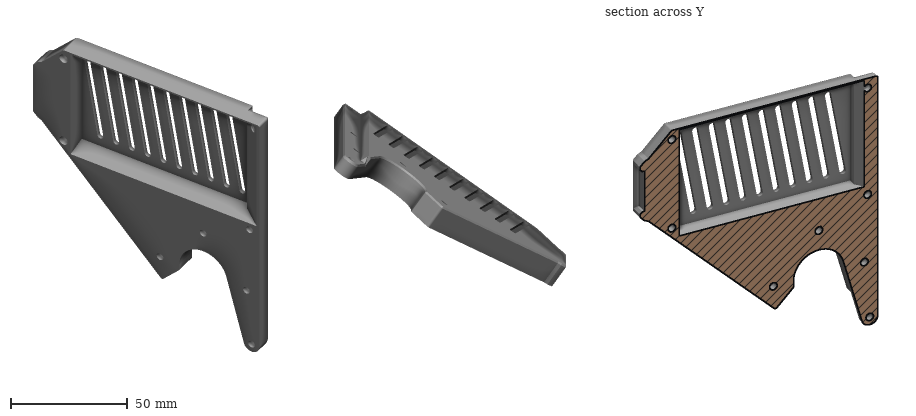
import cadquery as cq
import math


WIDTH = 114.82
HEIGHT = 124.2
THICKNESS = 11.0
LEDGE_THICKNESS = 7.6

OPENING_RADIUS = 12.1
TIP_X = 24.5
TIP_Z = -28.25
TIP_RADIUS = 4.0
RIGHT = TIP_X + TIP_RADIUS
LEFT = RIGHT - WIDTH
BOTTOM = TIP_Z - TIP_RADIUS
TOP = BOTTOM + HEIGHT
HEAD_Z = 65.0
HEAD_HALF_HEIGHT = 12.6
HEAD_CHAMFER = 2.35
NECK_WIDTH = 1.85
NECK_OUTER_X = LEFT + HEAD_CHAMFER
NECK_OUTER_HALF = HEAD_HALF_HEIGHT + HEAD_CHAMFER
NECK_INNER_X = NECK_OUTER_X + NECK_WIDTH
NECK_INNER_HALF = 15.75
TOP_LEFT_X = NECK_INNER_X + TOP - (HEAD_Z + NECK_INNER_HALF)
POINT_X = -20.9
POINT_Z = NECK_INNER_X + HEAD_Z - NECK_INNER_HALF - POINT_X
OPENING_CORNER_Z = POINT_Z + (-OPENING_RADIUS - POINT_X)
CORNER_RADIUS = 1.0

BEVEL_WIDTH = 0.45
BEVEL_DEPTH = 0.8
LEDGE_BEVEL_DEPTH = 1.15

SIDE_LEDGE_X = 18.5
TIP_LEDGE_Z = -14.9

POCKET_LEFT = -67.25
POCKET_RIGHT = 27.05
POCKET_BOTTOM = 36.95
POCKET_TOP = 91.1
POCKET_DEPTH = 9.0
POCKET_DRAFT = 15.0
RAMP_DEPTH = 6.4
RAMP_X = 18.2
FLOOR_RIGHT = 17.75

SLOT_COUNT = 10
SLOT_PITCH = 8.0
SLOT_WIDTH = 3.0
SLOT_TILT = 10.0
SLOT_RISE = 40.0
FIRST_SLOT_X = -61.35
SLOT_Z = HEAD_Z

SCREW_DIAMETER = 3.4
MOTOR_HOLE_SPACING = 31.0
MOTOR_HOLE_OFFSET = MOTOR_HOLE_SPACING / math.sqrt(2)
SIDE_HOLE_X = 23.5
SIDE_HOLES_Z = (33.5, 87.0)
PILOT_X = -70.85
PILOT_SPACING = 44.5
PILOT_DIAMETER = 2.7
PILOT_MOUTH_DIAMETER = 4.2
PILOT_DEPTH = 8.0

WINDOW_LENGTH = 22.4
WINDOW_WIDTH = 8.7
WINDOW_Y = 5.45
WINDOW_BEVEL = 1.2
WINDOW_DEPTH = 2.2

OVERSIZE = 1.0


def front_plane(y=0.0):
    return cq.Workplane("XZ", origin=(0, y, 0))


def outline(y=0.0):
    """Closed outline of the plate; the leg edge is tangent to opening and tip."""
    centre_distance = math.hypot(TIP_X, TIP_Z)
    leg_angle = math.atan2(TIP_X, -TIP_Z) - math.asin((OPENING_RADIUS + TIP_RADIUS) / centre_distance)
    normal_x = math.cos(leg_angle)
    normal_z = math.sin(leg_angle)
    leg_start = (OPENING_RADIUS * normal_x, OPENING_RADIUS * normal_z)
    leg_end = (TIP_X - TIP_RADIUS * normal_x, TIP_Z - TIP_RADIUS * normal_z)
    return (
        front_plane(y)
        .moveTo(RIGHT, TIP_Z)
        .lineTo(RIGHT, TOP)
        .lineTo(TOP_LEFT_X, TOP)
        .lineTo(NECK_INNER_X, HEAD_Z + NECK_INNER_HALF)
        .lineTo(NECK_OUTER_X, HEAD_Z + NECK_OUTER_HALF)
        .lineTo(LEFT, HEAD_Z + HEAD_HALF_HEIGHT)
        .lineTo(LEFT, HEAD_Z - HEAD_HALF_HEIGHT)
        .lineTo(NECK_OUTER_X, HEAD_Z - NECK_OUTER_HALF)
        .lineTo(NECK_INNER_X, HEAD_Z - NECK_INNER_HALF)
        .lineTo(POINT_X, POINT_Z)
        .lineTo(-OPENING_RADIUS, OPENING_CORNER_Z)
        .lineTo(-OPENING_RADIUS, 0)
        .threePointArc((0, OPENING_RADIUS), leg_start)
        .lineTo(*leg_end)
        .threePointArc((TIP_X, BOTTOM), (RIGHT, TIP_Z))
        .close()
    )


def rounded_plate(thickness):
    plate = outline().extrude(-thickness)
    rounded_corners = (
        (RIGHT, TOP),
        (TOP_LEFT_X, TOP),
        (POINT_X, POINT_Z),
        (-OPENING_RADIUS, OPENING_CORNER_Z),
    )
    for x, z in rounded_corners:
        plate = plate.edges(cq.NearestToPointSelector((x, thickness / 2, z))).fillet(CORNER_RADIUS)
    return plate


def bevelled_plate(thickness, bevel_depth):
    """Plate whose back edges are bevelled all round."""
    straight = rounded_plate(thickness - bevel_depth)
    taper = math.degrees(math.atan2(BEVEL_WIDTH, bevel_depth))
    return straight.faces(">Y").wires().toPending().workplane().extrude(bevel_depth, taper=taper)


def raised_side():
    """Slab behind the sloped risers of the two ledges, narrowing towards the back face."""
    taper = math.degrees(math.atan2(BEVEL_WIDTH, BEVEL_DEPTH))
    spread = THICKNESS * BEVEL_WIDTH / BEVEL_DEPTH
    right = SIDE_LEDGE_X - BEVEL_WIDTH + spread
    low = TIP_LEDGE_Z - spread
    far_left = LEFT - THICKNESS
    far_top = TOP + THICKNESS
    return (
        front_plane()
        .moveTo(far_left, low)
        .lineTo(right, low)
        .lineTo(right, far_top)
        .lineTo(far_left, far_top)
        .close()
        .extrude(-THICKNESS, taper=taper)
    )


def stepped_plate():
    """Thin plate all over, the thick block on it, and risers whose sides continue the thin bevel."""
    thin = bevelled_plate(LEDGE_THICKNESS, LEDGE_BEVEL_DEPTH)
    thick = bevelled_plate(THICKNESS, BEVEL_DEPTH)
    slab = raised_side()

    block_width = SIDE_LEDGE_X - LEFT
    block_height = TOP - TIP_LEDGE_Z
    block = cq.Workplane().box(block_width, THICKNESS, block_height, centered=False)
    block = block.translate((LEFT, 0, TIP_LEDGE_Z))
    raised = thick.intersect(block).intersect(slab)

    riser_start = LEDGE_THICKNESS - LEDGE_BEVEL_DEPTH
    riser_taper = math.degrees(math.atan2(BEVEL_WIDTH, LEDGE_BEVEL_DEPTH))
    riser = outline(riser_start).extrude(riser_start - THICKNESS, taper=riser_taper)
    riser = riser.intersect(slab).cut(block)
    return thin.union(raised).union(riser)


def pocket():
    """Pocket open at the front: drafted lower wall, ramped right end."""
    draft_rise = POCKET_DEPTH * math.tan(math.radians(POCKET_DRAFT))
    plan = (
        cq.Workplane("XY", origin=(0, 0, POCKET_BOTTOM))
        .moveTo(POCKET_LEFT, 0)
        .lineTo(POCKET_RIGHT, 0)
        .lineTo(RAMP_X, RAMP_DEPTH)
        .lineTo(FLOOR_RIGHT, POCKET_DEPTH)
        .lineTo(POCKET_LEFT, POCKET_DEPTH)
        .close()
        .extrude(POCKET_TOP - POCKET_BOTTOM)
    )
    side = (
        cq.Workplane("YZ", origin=(POCKET_LEFT, 0, 0))
        .moveTo(0, POCKET_BOTTOM)
        .lineTo(POCKET_DEPTH, POCKET_BOTTOM + draft_rise)
        .lineTo(POCKET_DEPTH, POCKET_TOP)
        .lineTo(0, POCKET_TOP)
        .close()
        .extrude(POCKET_RIGHT - POCKET_LEFT)
    )
    return plan.intersect(side)


def vent_slots():
    slot_length = SLOT_RISE / math.cos(math.radians(SLOT_TILT)) + SLOT_WIDTH
    centres = [(FIRST_SLOT_X + i * SLOT_PITCH, SLOT_Z) for i in range(SLOT_COUNT)]
    return (
        front_plane()
        .pushPoints(centres)
        .slot2D(slot_length, SLOT_WIDTH, 90 + SLOT_TILT)
        .extrude(-(THICKNESS + OVERSIZE))
    )


def screw_holes():
    centres = [
        (-MOTOR_HOLE_OFFSET, 0),
        (0, MOTOR_HOLE_OFFSET),
        (MOTOR_HOLE_OFFSET, 0),
        (TIP_X, TIP_Z),
    ]
    centres += [(SIDE_HOLE_X, z) for z in SIDE_HOLES_Z]
    return front_plane().pushPoints(centres).circle(SCREW_DIAMETER / 2).extrude(-(THICKNESS + OVERSIZE))


def pilot_holes():
    """Blind holes at the head, narrowing from the front face to their floor."""
    taper = math.degrees(math.atan2((PILOT_MOUTH_DIAMETER - PILOT_DIAMETER) / 2, PILOT_DEPTH))
    holes = cq.Workplane()
    for side in (-1, 1):
        centre = (PILOT_X, HEAD_Z + side * PILOT_SPACING / 2)
        hole = front_plane().center(*centre).circle(PILOT_MOUTH_DIAMETER / 2)
        holes = holes.add(hole.extrude(-PILOT_DEPTH, taper=taper))
    return holes.combine()


def head_window():
    """Shallow rectangular recess in the left edge with a bevelled mouth."""
    mouth = cq.Workplane("YZ", origin=(LEFT, WINDOW_Y, HEAD_Z))
    bevel = mouth.rect(WINDOW_WIDTH, WINDOW_LENGTH).extrude(WINDOW_BEVEL, taper=45)
    floor_width = WINDOW_WIDTH - 2 * WINDOW_BEVEL
    floor_length = WINDOW_LENGTH - 2 * WINDOW_BEVEL
    return bevel.union(mouth.rect(floor_width, floor_length).extrude(WINDOW_DEPTH))


part = (
    stepped_plate()
    .cut(pocket())
    .cut(vent_slots())
    .cut(screw_holes())
    .cut(pilot_holes())
    .cut(head_window())
)
result = cq.Workplane(part.solids().val())